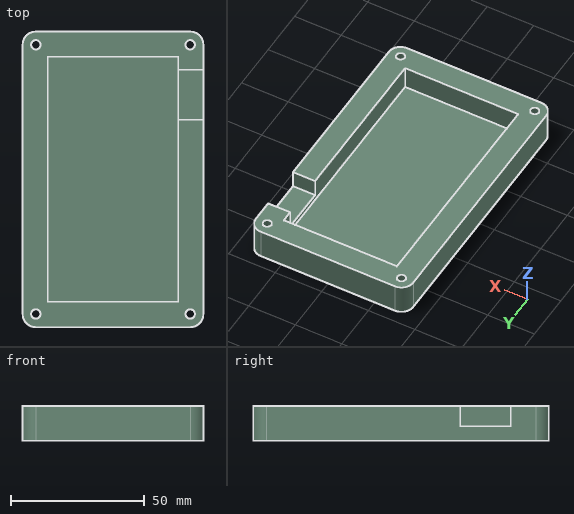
import cadquery as cq

width = 67.6
length = 110.5
height = 13.0
corner_radius = 5.0

wall = 9.5
floor_thickness = 3.0
pocket_width = width - 2 * wall
pocket_length = length - 2 * wall
pocket_depth = height - floor_thickness

notch_length = 18.8
notch_depth = 7.5
notch_back_gap = 14.3

hole_diameter = 3.4
hole_spacing_x = width - 2 * corner_radius
hole_spacing_y = length - 2 * corner_radius


def make_block():
    block = cq.Workplane("XY").box(width, length, height, centered=(True, True, False))
    return block.edges("|Z").fillet(corner_radius)


def make_pocket():
    floor = cq.Workplane("XY").workplane(offset=floor_thickness)
    return floor.rect(pocket_width, pocket_length).extrude(pocket_depth)


def make_notch():
    notch = cq.Workplane("XY").box(wall, notch_length, notch_depth, centered=False)
    notch_start_y = length / 2 - notch_back_gap - notch_length
    return notch.translate((pocket_width / 2, notch_start_y, height - notch_depth))


def make_corner_holes():
    centres = cq.Workplane("XY").rect(hole_spacing_x, hole_spacing_y, forConstruction=True)
    return centres.vertices().circle(hole_diameter / 2).extrude(height)


result = make_block().cut(make_pocket()).cut(make_notch()).cut(make_corner_holes())